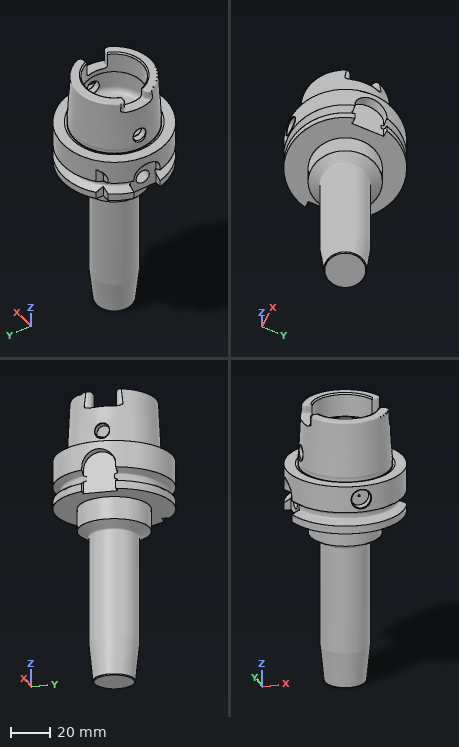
import cadquery as cq
import math


shank_top = 31.9
nose_end = -120.0
flange_radius = 31.5
flange_bottom = -26.0
collar_radius = 19.0
collar_bottom = -38.0
stem_radius = 13.0
stem_bottom = -100.0
nose_radius = 11.0
nose_chamfer = 0.5
neck_angle = math.radians(30)
neck_fillet = 1.0

taper_gauge_radius = 24.0
taper_gauge_z = 6.3
taper_slope = 1 / 20

relief_top = 2.2
relief_radius = 24.0
relief_depth = 0.4
relief_wall_top = 1.0
relief_floor_radius = 24.3
relief_rim_radius = 25.5

groove_z = -18.0
groove_floor_radius = 27.5
groove_floor_width = 2.8
groove_fillet = 1.0
groove_flank_angle = math.radians(30)

bore_radius = 17.0
bore_chamfer = 0.8
clamp_edge_z = 19.1
clamp_radius = 20.0
clamp_face_angle = math.radians(60)
bore_floor = 2.5
bore_floor_radius = 16.0
bore_floor_fillet = clamp_radius - bore_floor_radius
thread_radius = 8.6
thread_chamfer = 0.5
thread_bottom = -15.0
coolant_diameter = 4.2
coolant_depth = 10.0
drill_point_angle = math.radians(118)

slot_width = 12.5
slot_depth_minus_x = 6.0
slot_depth_plus_x = 9.9
slot_mouth_radius = 2.5
slot_floor_fillet = 1.8
rim_fillet = 1.0

cross_hole_z = 8.6
cross_hole_diameter = 7.6
countersink_diameter = 8.6
countersink_clearance = 0.5

keyway_floor = 26.5
keyway_arch_z = -13.1
keyway_width_minus_x = 16.0
keyway_width_plus_x = 18.0
keyway_hole_diameter = 8.0
keyway_hole_depth = 8.0
notch_floor = 20.0
notch_y = 26.4
notch_width = 13.0
notch_arch_z = -12.5

chip_hole_z = -7.2
chip_hole_diameter = 10.0
chip_hole_chamfer = 0.4
chip_hole_depth = 4.6
chip_vent_diameter = 1.0
chip_vent_depth = 2.0

pick_margin = 0.1


def taper_radius(z):
    return taper_gauge_radius - (z - taper_gauge_z) * taper_slope


def drill(diameter, depth):
    """Drilled hole along -Z from the origin: a cylinder of the given depth and a conical point."""
    radius = diameter / 2
    point = radius / math.tan(drill_point_angle / 2)
    profile = (
        cq.Workplane("XZ")
        .lineTo(radius, 0)
        .lineTo(radius, -depth)
        .lineTo(0, -depth - point)
        .close()
    )
    return profile.revolve(360, (0, 0, 0), (0, 1, 0))


def make_body():
    flank_height = (flange_radius - groove_floor_radius) * math.tan(groove_flank_angle)
    groove_half_floor = groove_floor_width / 2
    groove_half_mouth = groove_half_floor + flank_height

    neck_corner = collar_bottom - (collar_radius - stem_radius) * math.tan(neck_angle)
    tangent = neck_fillet * math.tan((math.pi / 2 - neck_angle) / 2)
    neck_start = (
        stem_radius + tangent * math.cos(neck_angle),
        neck_corner + tangent * math.sin(neck_angle),
    )
    neck_end = (stem_radius, neck_corner - tangent)

    profile = (
        cq.Workplane("XZ")
        .moveTo(0, shank_top)
        .lineTo(taper_radius(shank_top), shank_top)
        .lineTo(taper_radius(relief_top), relief_top)
        .lineTo(relief_radius, relief_wall_top)
        .lineTo(relief_radius, -relief_depth)
        .lineTo(relief_floor_radius, -relief_depth)
        .lineTo(relief_rim_radius, 0)
        .lineTo(flange_radius, 0)
        .lineTo(flange_radius, groove_z + groove_half_mouth)
        .lineTo(groove_floor_radius, groove_z + groove_half_floor)
        .lineTo(groove_floor_radius, groove_z - groove_half_floor)
        .lineTo(flange_radius, groove_z - groove_half_mouth)
        .lineTo(flange_radius, flange_bottom)
        .lineTo(collar_radius, flange_bottom)
        .lineTo(collar_radius, collar_bottom)
        .lineTo(*neck_start)
        .tangentArcPoint(neck_end, relative=False)
        .lineTo(stem_radius, stem_bottom)
        .lineTo(nose_radius, nose_end + nose_chamfer)
        .lineTo(nose_radius - nose_chamfer, nose_end)
        .lineTo(0, nose_end)
        .close()
    )
    body = profile.revolve(360, (0, 0, 0), (0, 1, 0)).rotate((0, 0, 0), (0, 0, 1), 90)
    groove_zone = cq.selectors.BoxSelector(
        (-flange_radius, -flange_radius, groove_z - groove_half_floor - pick_margin),
        (flange_radius, flange_radius, groove_z + groove_half_floor + pick_margin),
    )
    groove_corners = body.edges(groove_zone).edges("%CIRCLE")
    return groove_corners.fillet(groove_fillet)


def make_bore():
    clamp_face_height = (clamp_radius - bore_radius) / math.tan(clamp_face_angle)
    profile = (
        cq.Workplane("XZ")
        .moveTo(0, shank_top)
        .lineTo(bore_radius + bore_chamfer, shank_top)
        .lineTo(bore_radius, shank_top - bore_chamfer)
        .lineTo(bore_radius, clamp_edge_z)
        .lineTo(clamp_radius, clamp_edge_z - clamp_face_height)
        .lineTo(clamp_radius, bore_floor + bore_floor_fillet)
        .tangentArcPoint((bore_floor_radius, bore_floor), relative=False)
        .lineTo(thread_radius + thread_chamfer, bore_floor)
        .lineTo(thread_radius, bore_floor - thread_chamfer)
        .lineTo(thread_radius, thread_bottom)
        .lineTo(0, thread_bottom)
        .close()
    )
    bore = profile.revolve(360, (0, 0, 0), (0, 1, 0))
    coolant = drill(coolant_diameter, coolant_depth).translate((0, 0, thread_bottom))
    return bore.union(coolant)


def make_drive_slot(depth):
    """Slot cutter toward -X whose walls flare outward in arcs at the mouth."""
    floor_z = shank_top - depth
    half_width = slot_width / 2
    shank_radius = taper_radius(shank_top)
    centre_y = half_width + slot_mouth_radius
    centre_x = math.sqrt((shank_radius - slot_mouth_radius) ** 2 - centre_y**2)
    mid = slot_mouth_radius * math.sqrt(0.5)
    mouth_x = centre_x + slot_mouth_radius
    outer_x = shank_radius + slot_mouth_radius
    cutter = (
        cq.Workplane("XY")
        .workplane(offset=floor_z)
        .moveTo(0, half_width)
        .lineTo(-centre_x, half_width)
        .threePointArc((-centre_x - mid, centre_y - mid), (-mouth_x, centre_y))
        .lineTo(-mouth_x, 2 * centre_y)
        .lineTo(-outer_x, 2 * centre_y)
        .lineTo(-outer_x, -2 * centre_y)
        .lineTo(-mouth_x, -2 * centre_y)
        .lineTo(-mouth_x, -centre_y)
        .threePointArc((-centre_x - mid, mid - centre_y), (-centre_x, -half_width))
        .lineTo(0, -half_width)
        .close()
        .extrude(2 * depth)
    )
    wall_foot = cq.selectors.BoxSelector(
        (-mouth_x - pick_margin, -centre_y - pick_margin, floor_z - pick_margin),
        (-pick_margin, centre_y + pick_margin, floor_z + pick_margin),
    )
    return cutter.edges(wall_foot).fillet(slot_floor_fillet)


def turn_to_plus_x(cutter):
    return cutter.rotate((0, 0, 0), (0, 0, 1), 180)


def cut_drive_slots(part):
    """Cut both slots and round the end rim everywhere but at the bore mouth."""
    part = part.cut(make_drive_slot(slot_depth_minus_x))
    part = part.cut(turn_to_plus_x(make_drive_slot(slot_depth_plus_x)))
    bore_mouth_reach = bore_radius + bore_chamfer + pick_margin
    outer_rim = [
        edge
        for edge in part.faces(">Z").edges().vals()
        if edge.geomType() == "LINE" or math.hypot(*edge.positionAt(0.5).toTuple()[:2]) > bore_mouth_reach
    ]
    return part.newObject(outer_rim).fillet(rim_fillet)


def make_cross_hole():
    hole = cq.Workplane("YZ").center(0, cross_hole_z).circle(cross_hole_diameter / 2)
    hole = hole.extrude(flange_radius, both=True)
    surface_x = taper_radius(cross_hole_z)
    start_x = surface_x - (countersink_diameter - cross_hole_diameter) / 2
    end_x = surface_x + countersink_clearance
    end_radius = cross_hole_diameter / 2 + end_x - start_x
    sink = (
        cq.Workplane("XZ")
        .moveTo(start_x, 0)
        .lineTo(start_x, cross_hole_diameter / 2)
        .lineTo(end_x, end_radius)
        .lineTo(end_x, 0)
        .close()
        .revolve(360, (0, 0, 0), (1, 0, 0))
        .translate((0, 0, cross_hole_z))
    )
    return hole.union(sink).union(turn_to_plus_x(sink))


def make_arched_cut(floor_x, width, arch_z, centre_y):
    """Round-topped cut toward -X, open at the bottom of the flange."""
    radius = width / 2
    length = flange_radius
    arch = cq.Workplane("YZ").center(centre_y, arch_z).circle(radius).extrude(-length)
    below = (
        cq.Workplane("YZ")
        .center(centre_y, (arch_z + flange_bottom) / 2)
        .rect(width, arch_z - flange_bottom)
        .extrude(-length)
    )
    return arch.union(below).translate((-floor_x, 0, 0))


def make_keyway_hole():
    """Blind hole drilled toward +X into the floor of the -X keyway."""
    hole = drill(keyway_hole_diameter, keyway_hole_depth)
    return hole.rotate((0, 0, 0), (0, 1, 0), -90).translate((-keyway_floor, 0, groove_z))


def make_chip_hole():
    """Data chip pocket in the -Y side of the flange, with a small hole in its floor."""
    floor_y = -flange_radius + chip_hole_depth
    pocket = cq.Workplane("XZ", origin=(0, floor_y, chip_hole_z)).circle(chip_hole_diameter / 2)
    pocket = pocket.extrude(flange_radius)
    vent = cq.Workplane("XZ", origin=(0, floor_y, chip_hole_z)).circle(chip_vent_diameter / 2)
    return pocket.union(vent.extrude(-chip_vent_depth))


def chamfer_chip_hole(part):
    edge_zone = cq.selectors.BoxSelector(
        (-chip_hole_diameter, -flange_radius - 1, chip_hole_z - chip_hole_diameter),
        (chip_hole_diameter, -flange_radius + 1, chip_hole_z + chip_hole_diameter),
    )
    mouth = part.edges(edge_zone).edges("not %LINE").edges("not %CIRCLE")
    return mouth.chamfer(chip_hole_chamfer)


keyway_minus_x = make_arched_cut(keyway_floor, keyway_width_minus_x, keyway_arch_z, 0)
keyway_plus_x = turn_to_plus_x(make_arched_cut(keyway_floor, keyway_width_plus_x, keyway_arch_z, 0))
notch = make_arched_cut(notch_floor, notch_width, notch_arch_z, notch_y)

result = cut_drive_slots(make_body().cut(make_bore()))
result = result.cut(make_cross_hole())
result = result.cut(make_chip_hole())
result = chamfer_chip_hole(result)
result = result.cut(keyway_minus_x).cut(keyway_plus_x).cut(notch)
result = result.cut(make_keyway_hole())